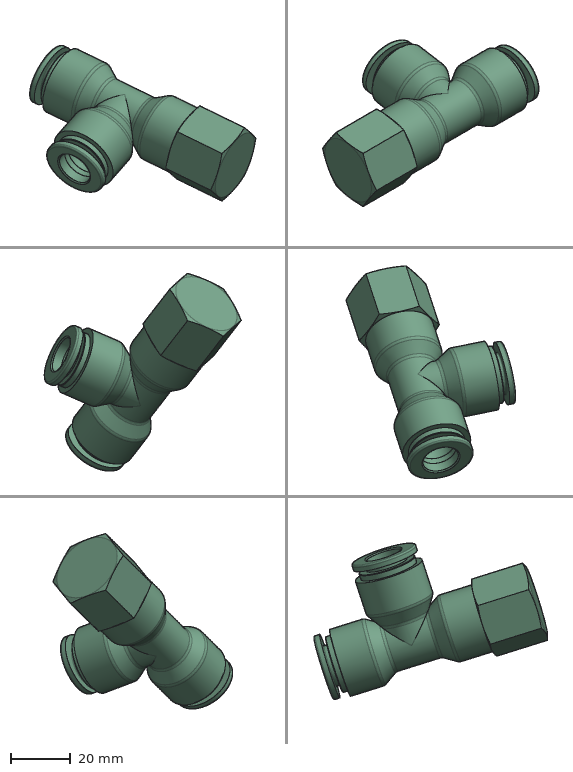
import cadquery as cq
import math

total_length = 74.9
arm_length = 30.9

hex_sides = 6
hex_across_flats = 24.0
hex_length = 19.1
hex_face_diameter = 23.7
hex_chamfer_length = 0.6

socket_diameter = 23.5
waist_diameter = 17.0
taper_outer = 13.1
taper_inner = 8.0
taper_blend = 2.0

ring_diameter = 19.6
ring_length = 2.1
ring_edge_chamfer = 0.2

flange_width = 22.5
flange_height = ring_diameter
flange_thickness = 2.2
flange_rounding = 0.6
neck_diameter = 14.2
neck_length = 1.6
neck_root_fillet = 0.2

bore_diameter = 12.2
bore_mouth_chamfer = 0.45
bore_end = taper_outer

ring_face = arm_length - flange_thickness - neck_length
socket_face = ring_face - ring_length
run_end = total_length - arm_length
hex_start = run_end - hex_length

RUN_ANGLE = 180
BRANCH_ANGLE = -90
SLEEVE_ANGLES = (RUN_ANGLE, BRANCH_ANGLE)


def across(distance):
    """Workplane square to the +X arm at a distance from the origin."""
    return cq.Workplane("YZ", origin=(distance, 0, 0))


def turned(part, angle):
    return part.rotate((0, 0, 0), (0, 0, 1), angle)


def revolved(outline):
    """Solid of revolution about X from (distance, radius) points."""
    return cq.Workplane("XY").polyline(outline).close().revolve(360, (0, 0, 0), (1, 0, 0))


def edges_at(distance):
    """Selector for the edges that lie wholly in the plane square to X at a distance."""
    reach = socket_diameter
    slack = 0.01
    return cq.selectors.BoxSelector(
        (distance - slack, -reach, -reach), (distance + slack, reach, reach), boundingbox=True
    )


def make_arm(end):
    """Waist, rounded taper and socket of one arm, starting at the origin."""
    waist_radius = waist_diameter / 2
    socket_radius = socket_diameter / 2
    arm = revolved([
        (0, 0),
        (0, waist_radius),
        (taper_inner, waist_radius),
        (taper_outer, socket_radius),
        (end, socket_radius),
        (end, 0),
    ])
    taper_ends = edges_at(taper_inner) + edges_at(taper_outer)
    return arm.edges(taper_ends).fillet(taper_blend)


def make_bore():
    return across(bore_end).circle(bore_diameter / 2).extrude(arm_length - bore_end)


def make_tee_body():
    body = make_arm(hex_start)
    for angle in SLEEVE_ANGLES:
        body = body.union(turned(make_arm(socket_face), angle))
    for angle in SLEEVE_ANGLES:
        body = body.cut(turned(make_bore(), angle))
    return body


def make_hex_end():
    """Hexagon with two corners on the Y axis and chamfered at both ends."""
    corner_radius = hex_across_flats / math.sqrt(3)
    face_radius = hex_face_diameter / 2
    hexagon = across(hex_start).polygon(hex_sides, 2 * corner_radius).extrude(hex_length)
    envelope = revolved([
        (hex_start, 0),
        (hex_start, face_radius),
        (hex_start + hex_chamfer_length, corner_radius),
        (run_end - hex_chamfer_length, corner_radius),
        (run_end, face_radius),
        (run_end, 0),
    ])
    return hexagon.intersect(envelope)


def make_ring():
    ring = across(socket_face).circle(ring_diameter / 2).extrude(ring_length)
    return ring.faces(">X").chamfer(ring_edge_chamfer).cut(make_bore())


def make_sleeve():
    flange_back = arm_length - flange_thickness
    flange = across(flange_back).ellipse(flange_width / 2, flange_height / 2).extrude(flange_thickness)
    flange = flange.faces(">X").edges().fillet(flange_rounding)
    neck = across(ring_face).circle(neck_diameter / 2).extrude(neck_length)
    sleeve = flange.union(neck)
    sleeve = sleeve.edges(edges_at(flange_back)).edges("%CIRCLE").fillet(neck_root_fillet)
    sleeve = sleeve.cut(make_bore())
    return sleeve.faces(">X").edges("%CIRCLE").chamfer(bore_mouth_chamfer)


tee_body = make_tee_body()
hex_end = make_hex_end()
rings = [turned(make_ring(), angle) for angle in SLEEVE_ANGLES]
sleeves = [turned(make_sleeve(), angle) for angle in SLEEVE_ANGLES]

result = cq.Compound.makeCompound([
    tee_body.val(),
    hex_end.val(),
    *[ring.val() for ring in rings],
    *[sleeve.val() for sleeve in sleeves],
])